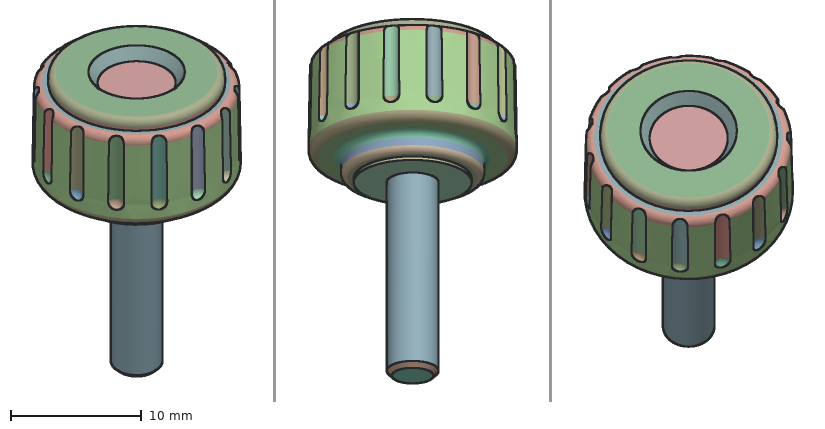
import cadquery as cq
import math

total_height = 26.95
screw_length = 16.01
flange_thickness = 0.3
collar_bottom = screw_length + flange_thickness
grip_bottom = 18.0
grip_top = 26.05

screw_radius = 2.0
flange_radius = 4.53
collar_radius = 5.5
grip_bottom_radius = 8.0
grip_top_radius = 7.87
cap_radius = 6.8

screw_chamfer = 0.4
collar_edge_round = 0.5
neck_fillet = 0.55
grip_bottom_round = 0.7
grip_top_round = 0.65
cap_round = 0.6

recess_top_radius = 3.7
recess_bottom_radius = 3.0
recess_depth = 1.0

groove_count = 15
first_groove_angle = -90.0
groove_radius = 0.67
groove_axis_radius = 8.2
groove_end_height = 20.1


def rounded_disc(bottom, top, radius, top_radius, bottom_round=0, top_round=0):
    """Disc or slightly tapered drum with optional rounded rims."""
    disc = (
        cq.Workplane("XZ")
        .polyline([(0, bottom), (radius, bottom), (top_radius, top), (0, top)])
        .close()
        .revolve(360, (0, 0, 0), (0, 1, 0))
    )
    if bottom_round:
        disc = disc.faces("<Z").edges().fillet(bottom_round)
    if top_round:
        disc = disc.faces(">Z").edges().fillet(top_round)
    return disc


def make_neck():
    """Concave flare joining the collar to the underside of the grip."""
    flare_start = grip_bottom - neck_fillet
    diagonal = neck_fillet * (1 - math.sqrt(0.5))
    return (
        cq.Workplane("XZ")
        .moveTo(0, flare_start)
        .lineTo(collar_radius, flare_start)
        .threePointArc(
            (collar_radius + diagonal, grip_bottom - diagonal),
            (collar_radius + neck_fillet, grip_bottom),
        )
        .lineTo(0, grip_bottom)
        .close()
        .revolve(360, (0, 0, 0), (0, 1, 0))
    )


def make_groove_cutter(angle):
    """Upright round cutter with a ball-shaped lower end."""
    shaft = (
        cq.Workplane("XY", origin=(groove_axis_radius, 0, groove_end_height))
        .circle(groove_radius)
        .extrude(total_height - groove_end_height)
    )
    ball = cq.Workplane("XY").sphere(groove_radius).translate((groove_axis_radius, 0, groove_end_height))
    return shaft.union(ball).rotate((0, 0, 0), (0, 0, 1), angle)


def make_recess_cutter():
    return rounded_disc(
        total_height - recess_depth, total_height, recess_bottom_radius, recess_top_radius
    )


def make_knob():
    collar = rounded_disc(
        collar_bottom, grip_bottom, collar_radius, collar_radius, bottom_round=collar_edge_round
    )
    grip = rounded_disc(
        grip_bottom, grip_top, grip_bottom_radius, grip_top_radius, grip_bottom_round, grip_top_round
    )
    for index in range(groove_count):
        angle = first_groove_angle + index * 360 / groove_count
        grip = grip.cut(make_groove_cutter(angle))
    cap = rounded_disc(grip_top, total_height, cap_radius, cap_radius, top_round=cap_round)
    return collar.union(make_neck()).union(grip).union(cap).cut(make_recess_cutter())


def make_screw():
    """Plain shank with a chamfered tip and a flange seated against the knob's collar."""
    shank = cq.Workplane("XY").circle(screw_radius).extrude(screw_length)
    shank = shank.faces("<Z").edges().chamfer(screw_chamfer)
    flange = rounded_disc(screw_length, collar_bottom, flange_radius, flange_radius)
    return shank.union(flange)


knob = make_knob()
screw = make_screw()

result = cq.Compound.makeCompound([knob.val(), screw.val()])